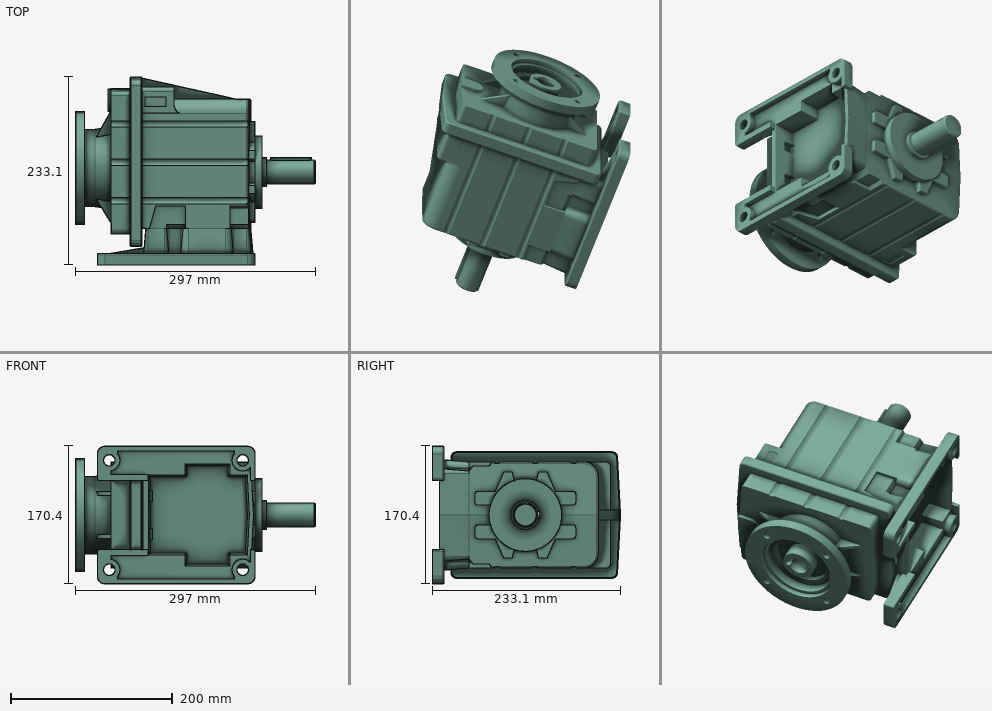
import cadquery as cq
import math


draft = 3.0
pedestal_draft = 5.0

flange_dia, flange_thick = 140.0, 11.3
neck_dia, neck_end_x, neck_root_dia = 96.0, 24.5, 101.5
bolt_dia, bolt_offset = 9.0, 40.7
socket_steps = [(95.0, 6.0), (86.0, 17.0), (68.0, 23.2)]
hub_dia, hub_face_x = 40.0, 5.0
hub_bore_dia, hub_keyway_width, hub_keyway_top = 24.5, 8.3, 16.0

cover_x, cover_half_z = 44.0, 65.5
cover_bottom, cover_side_top = -82.0, 94.7
cover_corner = 5.3
pad_thick, pad_radius, pad_center_y = 4.0, 12.2, 82.0
neck_rib_z, neck_rib_thick = 26.7, 4.8
neck_rib_tip_x, neck_rib_tip_y = 26.0, 39.0
neck_rib_top, neck_rib_bottom = 71.0, -68.0

joint_x, joint_end_x = 67.5, 82.3
joint_half_z, joint_bottom, joint_side_top = 78.5, -97.0, 108.7
joint_corner, joint_edge = 7.0, 1.2

housing_end_x, housing_half_z = 217.0, cover_half_z
housing_bottom, housing_top = -74.8, 85.2
housing_top_radius, housing_end_radius = 17.8, 2.0
block_end_x, block_top, block_corner = 122.0, 100.0, 5.0
block_curve_y, block_toe_x, block_toe_y = 78.5, 128.5, 68.0
spine_start_y, spine_end_x, spine_thick = 111.5, 199.5, 12.0

groove_radius, groove_depth = 5.0, 1.8
groove_middle_y, groove_pitch = 7.0, 47.5

recess_top, recess_floor_z = -47.0, 61.0
bevel_top = -69.8
name_recess_x, name_recess_foot_x, name_recess_end_x = 99.2, 91.5, 136.0
end_recess_x, end_recess_slope = 191.3, 2.7
label_x, label_y, label_length, label_height, label_depth = 99.2, 82.3, 26.0, 12.0, 1.0

pedestal_x, pedestal_end_x, pedestal_bottom = 87.0, housing_end_x, -111.7
pedestal_step_x, pedestal_waist_z = 113.0, 54.4
belly_x, belly_end_x, belly_half_z = 133.0, 192.8, housing_half_z
pedestal_corner, belly_corner = 3.0, 7.0
cavity_x, cavity_end_x, cavity_depth, cavity_half_z = 90.5, 215.3, 27.5, 49.3
cavity_belly_x, cavity_belly_end_x, cavity_belly_z = 135.5, 191.3, 63.3
window_z, window_width, window_end_x = 23.8, 13.7, 95.5
window_top, window_bottom = -81.7, -98.0

foot_x, foot_end_x = 27.0, 222.5
foot_bottom, foot_top = -120.3, -105.7
foot_half_z, foot_inner_z = 85.2, 42.8
foot_outer_radius, foot_inner_radius, foot_top_radius = 9.5, 2.5, 1.8
foot_hole_dia, foot_hole_z, foot_holes_x = 14.0, 67.7, (42.0, 207.0)
foot_boss_radius, foot_boss_shoulder = 13.0, 10.5
foot_pocket_x, foot_pocket_end_x = 43.7, 216.8
foot_pocket_z, foot_pocket_outer_z, foot_strip_end_x = 50.0, 79.3, 89.7
foot_rib_x, foot_rib_top, foot_rib_z, foot_rib_thick = 43.0, -98.3, 50.5, 7.5

output_y = -5.0
bearing_dia, bearing_end_x = 86.0, 222.2
ear_corner = 3.5
ear_z, ear_end_z, ear_reach_y = 12.2, 29.5, 62.5
lug_y, lug_end_y, lug_foot_y, lug_foot_end_y = 16.3, 26.7, 10.0, 38.3
lug_foot_z, lug_reach_z = 26.7, 53.5
output_flange_dia, output_flange_end_x = 90.0, 231.0
collar_dia, collar_end_x = 36.0, 236.7
shaft_dia, shaft_end_x, shaft_chamfer = 30.0, 297.0, 1.5
key_width, key_x, key_end_x, key_top = 8.3, 241.2, 292.2, 12.8


def rise(half_width, angle=draft):
    """Height of the shallow V over a face of the given half width."""
    return half_width * math.tan(math.radians(angle))


def box(x0, x1, y0, y1, z0, z1):
    return cq.Workplane("XY").box(x1 - x0, y1 - y0, z1 - z0, centered=False).translate((x0, y0, z0))


def disc(x0, x1, dia, y=0, z=0):
    """Cylinder along X."""
    return cq.Workplane("YZ", origin=(x0, y, z)).circle(dia / 2).extrude(x1 - x0)


def upright(x, z, dia, y0, y1):
    """Cylinder along Y."""
    return cq.Workplane("XZ", origin=(x, y0, z)).circle(dia / 2).extrude(y0 - y1)


def plate_xy(points, z, thick):
    """Plate with an outline in X and Y, centred on height z."""
    return cq.Workplane("XY", origin=(0, 0, z)).polyline(points).close().extrude(thick / 2, both=True)


def both_sides(body):
    return body.union(body.mirror("XY"))


def crowned_block(x0, x1, bottom, side_top, half_z, corner):
    """Block along X with a V-shaped top and four rounded corners."""
    outline = [
        (bottom, -half_z),
        (side_top, -half_z),
        (side_top + rise(half_z), 0),
        (side_top, half_z),
        (bottom, half_z),
    ]
    block = cq.Workplane("YZ", origin=(x0, 0, 0)).polyline(outline).close().extrude(x1 - x0)
    return block.edges("|X and (>Z or <Z)").fillet(corner)


def mirrored_outline(half):
    """Closed plan outline from the points of its +Z half."""
    return half + [(x, -z) for x, z in reversed(half) if z]


def tapered_prism(half, y, height, taper):
    """Prism that grows from level y towards -Y for a positive height."""
    plane = cq.Workplane("XZ", origin=(0, y, 0))
    return plane.polyline(mirrored_outline(half)).close().extrude(height, taper=taper)


def make_cover():
    cover = crowned_block(cover_x, joint_x, cover_bottom, cover_side_top, cover_half_z, cover_corner)
    pad = disc(cover_x - pad_thick, cover_x, 2 * pad_radius, pad_center_y)
    pad_top = cover_side_top + rise(cover_half_z - pad_radius)
    pad = pad.union(box(cover_x - pad_thick, cover_x, pad_center_y, pad_top, -pad_radius, pad_radius))
    return cover.union(pad)


def make_housing():
    side_end_x = housing_end_x - rise(housing_half_z)
    plan = [(joint_x, housing_half_z), (side_end_x, housing_half_z), (housing_end_x, 0)]
    housing = tapered_prism(plan, housing_top, housing_top - housing_bottom, 0)
    housing = housing.edges("|X and >Y").fillet(housing_top_radius)
    ends = cq.selectors.BoxSelector(
        (side_end_x - 3, housing_bottom, -housing_half_z - 3),
        (side_end_x + 0.3, housing_top, housing_half_z + 3),
    )
    housing = housing.edges("|Y").edges(ends).fillet(housing_end_radius)

    block = cq.Workplane("XY").moveTo(joint_x, block_toe_y).lineTo(joint_x, block_top)
    block = block.lineTo(block_end_x, block_top).lineTo(block_end_x, block_curve_y)
    block = block.tangentArcPoint((block_toe_x, block_toe_y), relative=False).close()
    block = block.extrude(housing_half_z, both=True)
    block = block.edges("|X and >Y").fillet(block_corner)
    spine = plate_xy(
        [(joint_end_x, spine_start_y), (spine_end_x, housing_top), (joint_end_x, housing_top)],
        0, spine_thick)
    return housing.union(block).union(spine)


def make_grooves():
    center_z = housing_half_z + groove_radius - groove_depth
    grooves = cq.Workplane("XY")
    for step in (-1, 0, 1):
        y = groove_middle_y + step * groove_pitch
        grooves = grooves.add(disc(cover_x, housing_end_x, 2 * groove_radius, y, center_z))
    return both_sides(grooves.combine())


def make_recesses():
    outer_z = housing_half_z + 3
    depth = outer_z - recess_floor_z
    middle_z = (outer_z + recess_floor_z) / 2
    name_recess = plate_xy(
        [
            (name_recess_x, recess_top),
            (name_recess_end_x, recess_top),
            (name_recess_end_x, housing_bottom),
            (name_recess_foot_x, housing_bottom),
        ],
        middle_z, depth)
    end_recess = cq.Workplane("YZ", origin=(end_recess_x, 0, 0)).polyline([
        (recess_top, outer_z),
        (recess_top, housing_half_z),
        (recess_top - end_recess_slope, recess_floor_z),
        (housing_bottom, recess_floor_z),
        (housing_bottom, outer_z),
    ]).close().extrude(housing_end_x - end_recess_x)
    recesses = name_recess.union(end_recess)

    for x0, x1 in ((pedestal_step_x, name_recess_end_x), (end_recess_x, housing_end_x)):
        bevel = cq.Workplane("YZ", origin=(x0, 0, 0)).polyline([
            (bevel_top, recess_floor_z),
            (housing_bottom, recess_floor_z),
            (housing_bottom, pedestal_waist_z),
        ]).close().extrude(x1 - x0)
        recesses = recesses.union(bevel)

    label = cq.Workplane("XY").box(label_length, label_height, 2 * label_depth)
    recesses = recesses.union(label.translate((label_x, label_y, housing_half_z)))
    return both_sides(recesses)


def make_pedestal():
    half = [
        (pedestal_x, recess_floor_z),
        (pedestal_step_x, recess_floor_z),
        (pedestal_step_x, pedestal_waist_z),
        (belly_x, pedestal_waist_z),
        (belly_x, belly_half_z),
        (belly_end_x, belly_half_z),
        (belly_end_x, pedestal_waist_z),
        (pedestal_end_x - rise(pedestal_waist_z), pedestal_waist_z),
        (pedestal_end_x, 0),
    ]
    outline = mirrored_outline(half)
    plan = cq.Sketch().polygon(outline + outline[:1])
    waist = plan.vertices().filter(lambda corner: 3 < abs(corner.Center().y) < belly_half_z - 3)
    plan = waist.fillet(pedestal_corner).reset()
    plan = plan.vertices(">Y or <Y").fillet(belly_corner).reset()
    plane = cq.Workplane("XZ", origin=(0, housing_bottom, 0))
    return plane.placeSketch(plan).extrude(housing_bottom - pedestal_bottom, taper=-pedestal_draft)


def make_cavity():
    half = [
        (cavity_x, cavity_half_z),
        (cavity_belly_x, cavity_half_z),
        (cavity_belly_x, cavity_belly_z),
        (cavity_belly_end_x, cavity_belly_z),
        (cavity_belly_end_x, cavity_half_z),
        (cavity_end_x - rise(cavity_half_z), cavity_half_z),
        (cavity_end_x, 0),
    ]
    cavity = tapered_prism(half, pedestal_bottom, -cavity_depth, pedestal_draft)
    window = box(
        joint_end_x, window_end_x, window_bottom, window_top,
        window_z - window_width / 2, window_z + window_width / 2)
    return cavity.union(both_sides(window))


def make_foot_bar():
    bar = box(foot_x, foot_end_x, foot_bottom, foot_top, foot_inner_z, foot_half_z)
    bar = bar.edges("|Y and >Z").fillet(foot_outer_radius)
    bar = bar.edges("|Y and <Z").fillet(foot_inner_radius)
    bar = bar.faces(">Y").edges().fillet(foot_top_radius)
    rib = plate_xy(
        [(foot_rib_x, foot_top), (pedestal_x, foot_rib_top), (pedestal_x, foot_top)],
        foot_rib_z, foot_rib_thick)
    return bar.union(rib)


def make_foot_pocket():
    """Shallow pocket under a bar that leaves a boss around each bolt hole."""
    floor = pedestal_bottom
    pocket = box(
        foot_pocket_x, foot_pocket_end_x, foot_bottom, floor, foot_pocket_z, foot_pocket_outer_z)
    open_strip = box(foot_strip_end_x, foot_pocket_end_x, foot_bottom, floor, 0, foot_pocket_z)
    pocket = pocket.union(open_strip)
    for x in foot_holes_x:
        boss = upright(x, foot_hole_z, 2 * foot_boss_radius, floor, foot_bottom)
        shoulder = box(
            x - foot_boss_shoulder, x + foot_boss_shoulder, foot_bottom, floor,
            foot_hole_z, foot_half_z)
        pocket = pocket.cut(boss).cut(shoulder)
    return pocket


def make_neck_rib():
    upper = [
        (neck_rib_tip_x, neck_rib_tip_y),
        (cover_x, neck_rib_top),
        (cover_x, 0),
        (neck_rib_tip_x, 0),
    ]
    lower = [(x, y * neck_rib_bottom / neck_rib_top if y == neck_rib_top else -y) for x, y in upper]
    rib = plate_xy(upper, neck_rib_z, neck_rib_thick)
    return rib.union(plate_xy(lower, neck_rib_z, neck_rib_thick))


def make_input():
    neck_cone = cq.Workplane("XY").polyline([
        (neck_end_x, 0),
        (neck_end_x, neck_dia / 2),
        (cover_x, neck_root_dia / 2),
        (cover_x, 0),
    ]).close().revolve(360, (0, 0, 0), (1, 0, 0))
    body = disc(0, flange_thick, flange_dia).union(disc(0, neck_end_x, neck_dia)).union(neck_cone)
    body = body.union(both_sides(make_neck_rib()))
    for dia, depth in socket_steps:
        body = body.cut(disc(0, depth, dia))
    for y in (-bolt_offset, bolt_offset):
        for z in (-bolt_offset, bolt_offset):
            body = body.cut(disc(0, flange_thick, bolt_dia, y, z))

    body = body.union(disc(hub_face_x, cover_x, hub_dia))
    keyway = box(
        hub_face_x, cover_x, 0, hub_keyway_top, -hub_keyway_width / 2, hub_keyway_width / 2)
    return body.cut(disc(hub_face_x, cover_x, hub_bore_dia)).cut(keyway)


def make_output():
    root_x = housing_end_x - rise(housing_half_z) - 3
    body = disc(root_x, bearing_end_x, bearing_dia, output_y)
    plane = cq.Workplane("YZ", origin=(root_x, output_y, 0))
    thick = bearing_end_x - root_x
    for level in (-1, 1):
        for side in (-1, 1):
            ear = plane.polyline([
                (0, side * ear_z),
                (level * ear_reach_y, side * ear_z),
                (level * ear_reach_y, side * ear_end_z),
                (0, side * ear_end_z),
            ]).close().extrude(thick)
            tip = ear.edges("|X").edges("<Y" if level < 0 else ">Y")
            ear = tip.fillet(ear_corner)
            lug = plane.polyline([
                (level * lug_foot_y, side * lug_foot_z),
                (level * lug_y, side * lug_reach_z),
                (level * lug_end_y, side * lug_reach_z),
                (level * lug_foot_end_y, side * lug_foot_z),
            ]).close().extrude(thick)
            body = body.union(ear).union(lug)

    body = body.union(disc(bearing_end_x, output_flange_end_x, output_flange_dia, output_y))
    body = body.union(disc(root_x, collar_end_x, collar_dia, output_y))
    shaft = disc(root_x, shaft_end_x, shaft_dia, output_y).faces(">X").edges().chamfer(shaft_chamfer)
    key = box(key_x, key_end_x, output_y, key_top, -key_width / 2, key_width / 2)
    key = key.edges("|Y").fillet(0.49 * key_width)
    return body.union(shaft).union(key)


joint_flange = crowned_block(
    joint_x, joint_end_x, joint_bottom, joint_side_top, joint_half_z, joint_corner)
joint_flange = joint_flange.faces("<X or >X").edges().chamfer(joint_edge)

casing = make_cover().union(make_housing())
casing = casing.cut(make_grooves()).cut(make_recesses())
casing = casing.union(joint_flange).union(make_pedestal()).union(both_sides(make_foot_bar()))
casing = casing.cut(make_cavity()).cut(both_sides(make_foot_pocket()))
for hole_x in foot_holes_x:
    for hole_z in (-foot_hole_z, foot_hole_z):
        casing = casing.cut(upright(hole_x, hole_z, foot_hole_dia, foot_top, foot_bottom))

result = casing.union(make_input()).union(make_output())